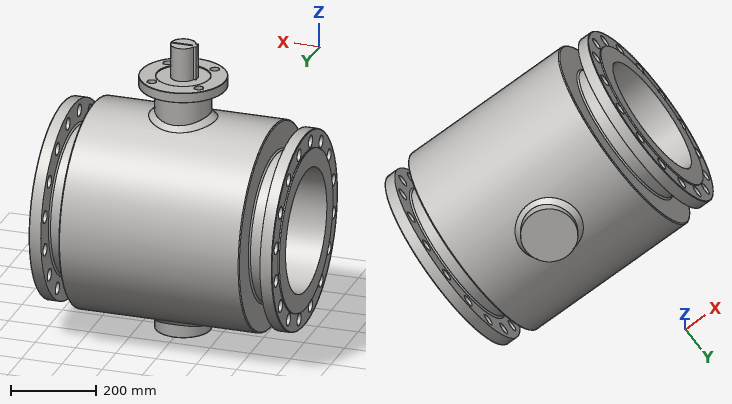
import cadquery as cq
import math


overall_length = 610.0
bore_diameter = 304.0
shell_diameter = 508.0
shell_length = 448.0
shell_chamfer = 2.5
pipe_diameter = 364.0
pipe_weld = 4.0

flange_diameter = 485.0
flange_thickness = 33.0
flange_chamfer = 1.5
raised_face_diameter = 395.0
raised_face_height = 3.5
bolt_circle_diameter = 430.0
bolt_hole_diameter = 30.0
bolt_count = 16

neck_diameter = 135.0
weld_radius = 14.5
weld_overlap = 1.0
weld_root_depth = 8.0
weld_curve_points = 48
trunnion_bottom = -288.0
total_height = 725.2

plate_diameter = 210.0
plate_thickness = 25.0
plate_chamfer = 1.0
plate_recess_diameter = 130.0
plate_recess_depth = 3.0
plate_bolt_circle = 165.0
plate_hole_diameter = 22.0
plate_bolt_count = 4

stem_diameter = 60.0
stem_height = 81.0
key_width = 18.0
key_height = 11.0
key_projection = 4.4
mark_width = 2.0
mark_depth = 2.0
mark_length = 52.0

stem_top = trunnion_bottom + total_height
plate_top = stem_top - stem_height
plate_bottom = plate_top - plate_thickness


def x_cylinder(diameter, x_start, x_end):
    """Cylinder on the flow axis."""
    return cq.Workplane("YZ", origin=(x_start, 0, 0)).circle(diameter / 2).extrude(x_end - x_start)


def z_cylinder(diameter, z_start, z_end):
    """Cylinder on the stem axis."""
    return cq.Workplane("XY", origin=(0, 0, z_start)).circle(diameter / 2).extrude(z_end - z_start)


def closed_curve(point_at):
    """Closed smooth edge through points given by a function of the angle around the stem axis."""
    angles = [2 * math.pi * i / weld_curve_points for i in range(weld_curve_points)]
    return cq.Edge.makeSpline([point_at(angle) for angle in angles], periodic=True)


def make_neck_weld():
    """Flat weld seam around the neck, as a solid ring of three ruled surfaces.

    A ball of the weld radius resting on both neck and shell touches them at the two toes of the seam.
    The seam runs straight from toe to toe, and overlaps a little into the neck and the shell.
    """
    neck_radius = neck_diameter / 2
    shell_radius = shell_diameter / 2
    ball_reach = neck_radius + weld_radius
    ball_height = shell_radius + weld_radius

    def toes(angle):
        ball_y = ball_reach * math.sin(angle)
        ball_z = math.sqrt(ball_height**2 - ball_y**2)
        upper = cq.Vector(neck_radius * math.cos(angle), neck_radius * math.sin(angle), ball_z)
        shell_ratio = shell_radius / ball_height
        lower = cq.Vector(ball_reach * math.cos(angle), ball_y * shell_ratio, ball_z * shell_ratio)
        return upper, lower

    def upper_point(angle):
        upper, lower = toes(angle)
        return upper + (upper - lower).normalized() * weld_overlap

    def lower_point(angle):
        upper, lower = toes(angle)
        return lower + (lower - upper).normalized() * weld_overlap

    def root_point(angle):
        upper, lower = toes(angle)
        root_ratio = (neck_radius - weld_root_depth) / neck_radius
        return cq.Vector(upper.x * root_ratio, upper.y * root_ratio, lower.z - weld_root_depth)

    curves = [closed_curve(point_at) for point_at in (upper_point, lower_point, root_point)]
    faces = [cq.Face.makeRuledSurface(curves[i - 1], curves[i]) for i in range(len(curves))]
    return cq.Workplane("XY").add(cq.Solid.makeSolid(cq.Shell.makeShell(faces)))


def make_shell():
    """Outer shell with the neck above, the trunnion below and a weld seam around each."""
    shell = x_cylinder(shell_diameter, -shell_length / 2, shell_length / 2)
    shell = shell.faces("<X or >X").chamfer(shell_chamfer)
    shell = shell.union(z_cylinder(neck_diameter, trunnion_bottom, plate_bottom))
    weld = make_neck_weld()
    return shell.union(weld).union(weld.mirror("XY"))


def make_pipe_end():
    """Pipe end and bolted flange on the -X side, as a turned profile."""
    face_x = -overall_length / 2
    flange_front_x = face_x + raised_face_height
    flange_back_x = face_x + flange_thickness
    shell_x = -shell_length / 2
    flange_radius = flange_diameter / 2
    pipe_radius = pipe_diameter / 2
    toe_radius = pipe_radius + pipe_weld
    profile = (
        cq.Workplane("XY")
        .moveTo(face_x, 0)
        .lineTo(face_x, raised_face_diameter / 2)
        .lineTo(flange_front_x, raised_face_diameter / 2)
        .lineTo(flange_front_x, flange_radius - flange_chamfer)
        .lineTo(flange_front_x + flange_chamfer, flange_radius)
        .lineTo(flange_back_x, flange_radius)
        .lineTo(flange_back_x, toe_radius)
        .lineTo(flange_back_x + pipe_weld, pipe_radius)
        .lineTo(shell_x - pipe_weld, pipe_radius)
        .lineTo(shell_x, toe_radius)
        .lineTo(0, toe_radius)
        .lineTo(0, 0)
        .close()
    )
    pipe_end = profile.revolve(360, (0, 0, 0), (1, 0, 0))
    bolt_holes = (
        cq.Workplane("YZ", origin=(face_x, 0, 0))
        .polarArray(bolt_circle_diameter / 2, 180 / bolt_count, 360, bolt_count)
        .circle(bolt_hole_diameter / 2)
        .extrude(flange_thickness)
    )
    return pipe_end.cut(bolt_holes)


def make_plate():
    """Mounting plate with a shallow recess and four through holes."""
    plate = z_cylinder(plate_diameter, plate_bottom, plate_top)
    plate = plate.faces("<Z or >Z").chamfer(plate_chamfer)
    recess = z_cylinder(plate_recess_diameter, plate_top - plate_recess_depth, plate_top)
    holes = (
        cq.Workplane("XY", origin=(0, 0, plate_bottom))
        .polarArray(plate_bolt_circle / 2, 180 / plate_bolt_count, 360, plate_bolt_count)
        .circle(plate_hole_diameter / 2)
        .extrude(plate_thickness)
    )
    return plate.cut(recess).cut(holes)


def make_stem():
    """Stem with a key on the -X side and a mark slot across its top end."""
    stem_bottom = plate_top - plate_recess_depth
    stem_radius = stem_diameter / 2
    stem = z_cylinder(stem_diameter, stem_bottom, stem_top)
    key_outer_x = -stem_radius - key_projection
    key = cq.Workplane("XY").box(
        key_height, key_width, stem_top - stem_bottom, centered=(False, True, False)
    )
    key = key.translate((key_outer_x, 0, stem_bottom))
    mark = cq.Workplane("XY").box(
        mark_length, mark_width, mark_depth, centered=(False, True, False)
    )
    mark = mark.translate((stem_radius - mark_length, 0, stem_top - mark_depth))
    return stem.union(key).cut(mark)


pipe_end = make_pipe_end()
valve = make_shell().union(pipe_end).union(pipe_end.mirror("YZ"))
valve = valve.union(make_plate()).union(make_stem())
result = valve.cut(x_cylinder(bore_diameter, -overall_length / 2, overall_length / 2))